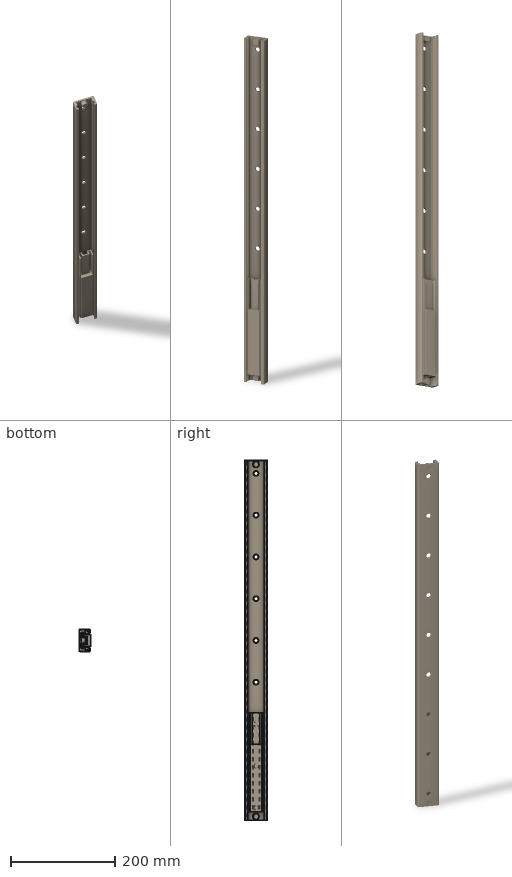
import cadquery as cq

LENGTH = 690.0
RAIL_WIDTH = 43.0
RAIL_DEPTH = 21.0
TOTAL_DEPTH = 22.0
BACK_X = -TOTAL_DEPTH / 2
FRONT_X = TOTAL_DEPTH / 2
BOTTOM_Z = -LENGTH / 2

WEB_THICKNESS = 3.5
FLANGE_THICKNESS = 5.85
CHANNEL_HALF_WIDTH = RAIL_WIDTH / 2 - FLANGE_THICKNESS
OUTER_FILLET = 2.3
INNER_FILLET = 2.0

RACEWAY_X = BACK_X + 14.5
RACEWAY_RADIUS = 3.1

HOLE_DIAMETER = 9.0
HOLE_COUNT = 9
HOLE_PITCH = 80.0
FIRST_HOLE_Z = BOTTOM_Z + (LENGTH - (HOLE_COUNT - 1) * HOLE_PITCH) / 2

STOP_DIAMETER = 12.0
STOP_BORE_DIAMETER = 10.0
STOP_BORE_DEPTH = 1.5
STOP_LENGTH = 12.0
STOP_END_INSET = 7.5
STOP_Z = LENGTH / 2 - STOP_END_INSET

CAGE_LENGTH = 190.0
CAGE_END_INSET = 16.5
CAGE_BOTTOM_Z = BOTTOM_Z + CAGE_END_INSET
CAGE_THICKNESS = 2.4
CAGE_HALF_WIDTH = 14.0
CAGE_BACK_X = BACK_X + 6.0
CAGE_FRONT_X = BACK_X + 20.0
CROWN_BACK_X = BACK_X + 13.0
CROWN_HALF_WIDTH = 7.5

SLIDER_LENGTH = 130.0
SLIDER_HALF_WIDTH = CAGE_HALF_WIDTH - CAGE_THICKNESS


def mirrored_prism(upper_points, bottom_z, length):
    """Extrude along Z the symmetric section whose +Y corners are given."""
    lower_points = [(x, -y) for x, y in reversed(upper_points)]
    section = cq.Workplane("XY", origin=(0, 0, bottom_z))
    return section.polyline(upper_points + lower_points).close().extrude(length)


def web_cylinders(heights, diameter, length):
    """Cylinders along X that start at the back of the rail, one at each height."""
    points = [(0, z) for z in heights]
    return cq.Workplane("YZ", origin=(BACK_X, 0, 0)).pushPoints(points).circle(diameter / 2).extrude(length)


def make_rail():
    block = cq.Workplane("XY", origin=(0, 0, BOTTOM_Z)).center(BACK_X + RAIL_DEPTH / 2, 0)
    block = block.rect(RAIL_DEPTH, RAIL_WIDTH).extrude(LENGTH).edges("|Z").fillet(OUTER_FILLET)
    channel = mirrored_prism(
        [(BACK_X + WEB_THICKNESS, CHANNEL_HALF_WIDTH), (FRONT_X, CHANNEL_HALF_WIDTH)], BOTTOM_Z, LENGTH
    )
    rail = block.cut(channel.edges("|Z and <X").fillet(INNER_FILLET))
    for side in (1, -1):
        raceway = (
            cq.Workplane("XY", origin=(0, 0, BOTTOM_Z))
            .center(RACEWAY_X, side * CHANNEL_HALF_WIDTH)
            .circle(RACEWAY_RADIUS)
            .extrude(LENGTH)
        )
        rail = rail.cut(raceway)
    hole_heights = [FIRST_HOLE_Z + i * HOLE_PITCH for i in range(HOLE_COUNT)]
    rail = rail.cut(web_cylinders(hole_heights, HOLE_DIAMETER, WEB_THICKNESS))
    return rail.cut(web_cylinders([STOP_Z, -STOP_Z], STOP_DIAMETER, WEB_THICKNESS))


def make_stop(height):
    return web_cylinders([height], STOP_DIAMETER, STOP_LENGTH).cut(
        web_cylinders([height], STOP_BORE_DIAMETER, STOP_BORE_DEPTH)
    )


def make_cage():
    return mirrored_prism(
        [
            (CROWN_BACK_X, CROWN_HALF_WIDTH - CAGE_THICKNESS),
            (CAGE_BACK_X, CROWN_HALF_WIDTH - CAGE_THICKNESS),
            (CAGE_BACK_X, CAGE_HALF_WIDTH),
            (CAGE_FRONT_X, CAGE_HALF_WIDTH),
            (CAGE_FRONT_X, SLIDER_HALF_WIDTH),
            (CAGE_BACK_X + CAGE_THICKNESS, SLIDER_HALF_WIDTH),
            (CAGE_BACK_X + CAGE_THICKNESS, CROWN_HALF_WIDTH),
            (CROWN_BACK_X + CAGE_THICKNESS, CROWN_HALF_WIDTH),
        ],
        CAGE_BOTTOM_Z,
        CAGE_LENGTH,
    )


def make_slider():
    return mirrored_prism(
        [
            (CROWN_BACK_X + CAGE_THICKNESS, CROWN_HALF_WIDTH),
            (CAGE_BACK_X + CAGE_THICKNESS, CROWN_HALF_WIDTH),
            (CAGE_BACK_X + CAGE_THICKNESS, SLIDER_HALF_WIDTH),
            (FRONT_X, SLIDER_HALF_WIDTH),
        ],
        CAGE_BOTTOM_Z,
        SLIDER_LENGTH,
    )


rail = make_rail()
slider = make_slider()
cage = make_cage()
stops = [make_stop(height) for height in (STOP_Z, -STOP_Z)]

result = cq.Compound.makeCompound(
    [rail.val(), slider.val(), cage.val(), *[stop.val() for stop in stops]]
)